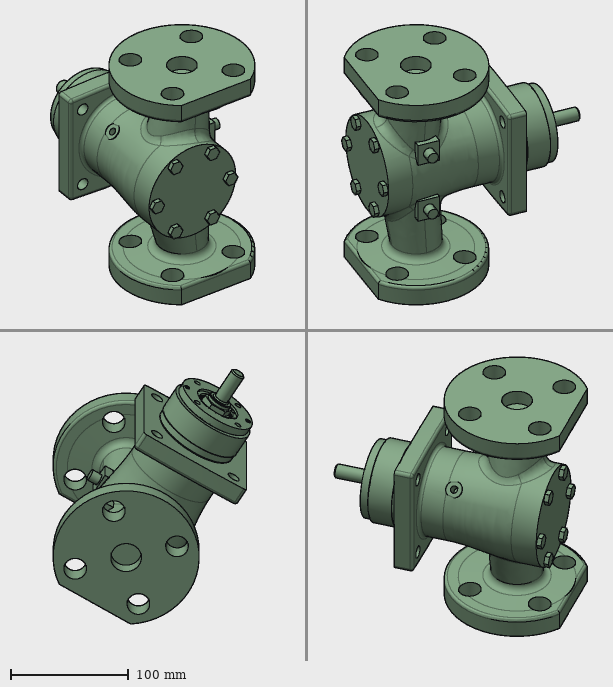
import cadquery as cq
import math


SHAFT_R = 6.14
SHAFT_CHAMFER = 1.2
SHAFT_END_X = 27.5
SHOULDER_R = 7.5
SHOULDER_CHAMFER = 1.2
COLLAR_X = 29.0
COLLAR_R = 10.5
COLLAR_CHAMFER = 0.6
NUT_X = 32.3
NUT_FLATS = 23.5
RECESS_R = 20.0
RECESS_DEPTH = 2.0
SEAL_R = 16.6
SEAL_DEPTH = 2.0
SEAL_GROOVE_R = 15.6
SEAL_GROOVE_WIDTH = 1.2
SEAL_GROOVE_DEPTH = 1.0
CLIP_HOLE_R = 0.94
CLIP_HOLE_Y = -17.9
CLIP_HOLE_Z = 6.0
CLIP_HOLE_DEPTH = 1.7

COVER_X = 33.7
COVER_R = 34.5
GROOVE_X = 40.5
GROOVE_R = 32.3
PILOT_X = 41.6
PILOT_R = 36.8
STEP_X = 62.6
STEP_R = 36.0
RELIEF_WIDTH = 0.8
RELIEF_R = 35.2
COVER_HOLE_R = 2.7
COVER_HOLE_OFFSET = 20.2
JACK_HOLE_R = 2.3
JACK_HOLE_Y = 30.2
JACK_SINK_DEPTH = 1.0
JACK_CORE_R = 1.2
COVER_HOLE_DEPTH = 5.2

PLATE_X = 70.1
PLATE_BACK_X = 87.0
PLATE_HALF = 51.0
PLATE_BOW = 1.5
PLATE_CORNER_ROUND = 3.1
PLATE_REAR_ROUND = 2.7
PLATE_HOLE_R = 5.3
PLATE_HOLE_OFFSET = 38.0

BODY_R = 39.0
BODY_FILLET = 3.1
FLARE_X = 109.7
FLARE_END_X = 173.1
REAR_R = 44.7
REAR_X = 195.6
BOLT_CIRCLE_R = 37.9
BOLT_FLATS = 11.0
BOLT_HEAD = 4.2
BOLT_COUNT = 6

FLANGE_R = 62.0
FLANGE_X = 157.3
FLANGE_Y = 15.6
FLANGE_Z = 101.65
FLANGE_FLAT_X = 208.0
FLANGE_THICK = 17.9
FLANGE_ROUND = 2.7
RAISED_R = 50.0
RAISED_HEIGHT = 1.0
FLANGE_HOLE_R = 9.5
FLANGE_HOLE_OFFSET = 31.5
PORT_R = 13.0
PORT_DEPTH = 13.1

NECK_R = 22.37
NECK_FILLET = 6.7
NECK_BEND_Z = FLANGE_Z - FLANGE_THICK - RAISED_HEIGHT - NECK_FILLET
NECK_ROOT_Z = 16.6
ROOT_X_MIN = FLANGE_X - NECK_R
ROOT_X_MAX = 186.2
ROOT_Y_MIN = -26.0
ROOT_Y_MAX = FLANGE_Y + NECK_R
NECK_BODY_FILLET = 9.4

DRAIN_X = 115.7
DRAIN_R = 3.1
DRAIN_DEPTH = 12.5
SPOT_R = 7.3
SPOT_SEAT = 38.5
DRAIN_TILT = 45
PLUG_R = 4.9
PLUG_Z = 28.5
PLUG_END_Y = 51.6
PAD_SIDE = 20.0
PAD_END_Y = 42.7


def rod(x, length, radius, y=0, z=0):
    """Cylinder along +X."""
    return cq.Workplane("YZ", origin=(x, y, z)).circle(radius).extrude(length)


def hexagon(x, length, flats, y=0, z=0):
    """Hexagonal prism along +X with two flats facing +Z and -Z."""
    corners = flats / math.cos(math.pi / 6)
    return cq.Workplane("YZ", origin=(x, y, z)).polygon(6, corners).extrude(length)


def make_turned_body():
    """Front cover, pilot, body and rear cover as one revolved profile."""
    return (
        cq.Workplane("XY")
        .moveTo(COVER_X, 0)
        .lineTo(COVER_X, COVER_R)
        .lineTo(GROOVE_X, COVER_R)
        .lineTo(GROOVE_X, GROOVE_R)
        .lineTo(PILOT_X, GROOVE_R)
        .lineTo(PILOT_X, PILOT_R)
        .lineTo(STEP_X, PILOT_R)
        .lineTo(STEP_X, STEP_R)
        .lineTo(PLATE_X - RELIEF_WIDTH, STEP_R)
        .lineTo(PLATE_X - RELIEF_WIDTH, RELIEF_R)
        .lineTo(PLATE_BACK_X, RELIEF_R)
        .lineTo(PLATE_BACK_X, BODY_R + BODY_FILLET)
        .radiusArc((PLATE_BACK_X + BODY_FILLET, BODY_R), -BODY_FILLET)
        .lineTo(FLARE_X, BODY_R)
        .spline([(FLARE_END_X, REAR_R)], tangents=[(1, 0), (1, 0)], includeCurrent=True)
        .lineTo(REAR_X, REAR_R)
        .lineTo(REAR_X, 0)
        .close()
        .revolve(360, (0, 0, 0), (1, 0, 0))
    )


def make_neck():
    """Upper neck: a round top blending to a wider oval that leans toward -Y."""
    root_x = (ROOT_X_MIN + ROOT_X_MAX) / 2
    root_y = (ROOT_Y_MIN + ROOT_Y_MAX) / 2
    bend_to_root = NECK_ROOT_Z - NECK_BEND_Z
    return (
        cq.Workplane("XY", origin=(FLANGE_X, FLANGE_Y, NECK_BEND_Z))
        .ellipse(NECK_R, NECK_R)
        .workplane(offset=bend_to_root)
        .center(root_x - FLANGE_X, root_y - FLANGE_Y)
        .ellipse((ROOT_X_MAX - ROOT_X_MIN) / 2, (ROOT_Y_MAX - ROOT_Y_MIN) / 2)
        .loft(ruled=True)
    )


def make_flange():
    """Upper flange: a disc cut flat on +X, with its raised back and neck fillet."""
    base = cq.Workplane("XY", origin=(FLANGE_X, FLANGE_Y, FLANGE_Z))
    flat_offset = FLANGE_FLAT_X - FLANGE_X
    beyond_flat = (
        base.center(flat_offset + FLANGE_R / 2, 0).rect(FLANGE_R, 2 * FLANGE_R).extrude(-FLANGE_THICK)
    )
    disc = base.circle(FLANGE_R).extrude(-FLANGE_THICK).cut(beyond_flat)
    disc = disc.faces("<Z").edges().fillet(FLANGE_ROUND)

    raised_depth = FLANGE_THICK + RAISED_HEIGHT
    hub = (
        cq.Workplane("XZ", origin=(FLANGE_X, FLANGE_Y, FLANGE_Z))
        .moveTo(0, -PORT_DEPTH)
        .lineTo(RAISED_R, -PORT_DEPTH)
        .lineTo(RAISED_R, -FLANGE_THICK)
        .lineTo(NECK_R + NECK_FILLET, -raised_depth)
        .radiusArc((NECK_R, NECK_BEND_Z - FLANGE_Z), -NECK_FILLET)
        .lineTo(0, NECK_BEND_Z - FLANGE_Z)
        .close()
        .revolve(360, (0, 0, 0), (0, 1, 0))
    )
    bolt_pitch = 2 * FLANGE_HOLE_OFFSET
    bolt_holes = (
        base.rect(bolt_pitch, bolt_pitch, forConstruction=True)
        .vertices()
        .circle(FLANGE_HOLE_R)
        .extrude(-raised_depth)
    )
    port = base.circle(PORT_R).extrude(-PORT_DEPTH)
    return disc.union(hub).cut(bolt_holes).cut(port)


def make_plate():
    """Square mounting plate with rounded corners, rear edge and bolt holes."""
    bowed = PLATE_HALF + PLATE_BOW
    plate = (
        cq.Workplane("YZ", origin=(PLATE_X, 0, 0))
        .moveTo(-PLATE_HALF, -PLATE_HALF)
        .threePointArc((0, -bowed), (PLATE_HALF, -PLATE_HALF))
        .lineTo(PLATE_HALF, PLATE_HALF)
        .threePointArc((0, bowed), (-PLATE_HALF, PLATE_HALF))
        .close()
        .extrude(PLATE_BACK_X - PLATE_X)
    )
    plate = plate.edges("|X").fillet(PLATE_CORNER_ROUND)
    plate = plate.faces(">X").edges().fillet(PLATE_REAR_ROUND)
    pitch = 2 * PLATE_HOLE_OFFSET
    return (
        plate.faces("<X")
        .workplane(origin=(PLATE_X, 0, 0))
        .rect(pitch, pitch, forConstruction=True)
        .vertices()
        .hole(2 * PLATE_HOLE_R)
    )


def cut_front_cover(part):
    """Stepped seal recess, clip holes, screw holes and jacking holes in the front face."""
    clip_x = COVER_X + RECESS_DEPTH
    seal_x = clip_x + SEAL_DEPTH
    part = part.cut(rod(COVER_X, RECESS_DEPTH, RECESS_R))
    part = part.cut(rod(clip_x, SEAL_DEPTH, SEAL_R))
    groove_core = rod(seal_x, SEAL_GROOVE_DEPTH, SEAL_GROOVE_R - SEAL_GROOVE_WIDTH)
    part = part.cut(rod(seal_x, SEAL_GROOVE_DEPTH, SEAL_GROOVE_R).cut(groove_core))
    for side in (-1, 1):
        part = part.cut(rod(clip_x, CLIP_HOLE_DEPTH, CLIP_HOLE_R, CLIP_HOLE_Y, side * CLIP_HOLE_Z))
        part = part.cut(rod(COVER_X, JACK_SINK_DEPTH, JACK_HOLE_R, side * JACK_HOLE_Y))
        part = part.cut(rod(COVER_X, COVER_HOLE_DEPTH, JACK_CORE_R, side * JACK_HOLE_Y))
        for level in (-1, 1):
            y = side * COVER_HOLE_OFFSET
            z = level * COVER_HOLE_OFFSET
            part = part.cut(rod(COVER_X, COVER_HOLE_DEPTH, COVER_HOLE_R, y, z))
    return part


def make_shaft():
    """Shaft with chamfered tip, tapered shoulder, collar and hexagon nut."""
    seat_x = COVER_X + RECESS_DEPTH + SEAL_DEPTH
    shaft = rod(0, COLLAR_X, SHAFT_R).faces("<X").chamfer(SHAFT_CHAMFER)
    shoulder = rod(SHAFT_END_X, COLLAR_X - SHAFT_END_X, SHOULDER_R)
    shoulder = shoulder.faces("<X").chamfer(SHOULDER_CHAMFER)
    collar = rod(COLLAR_X, NUT_X - COLLAR_X, COLLAR_R)
    collar = collar.faces("<X").chamfer(COLLAR_CHAMFER)
    nut = hexagon(NUT_X, seat_x - NUT_X, NUT_FLATS)
    return shaft.union(shoulder).union(collar).union(nut)


def add_rear_bolts(part):
    """Ring of hexagon bolt heads on the rear cover."""
    for index in range(BOLT_COUNT):
        angle = 2 * math.pi * index / BOLT_COUNT
        y = BOLT_CIRCLE_R * math.cos(angle)
        z = BOLT_CIRCLE_R * math.sin(angle)
        part = part.union(hexagon(REAR_X, BOLT_HEAD, BOLT_FLATS, y, z))
    return part


def cut_drain(part):
    """Spot-faced hole pointing at the shaft axis from the -Y, +Z side."""
    seat = cq.Workplane("XY", origin=(DRAIN_X, 0, SPOT_SEAT))
    spot = seat.circle(SPOT_R).extrude(REAR_R - SPOT_SEAT)
    hole = seat.circle(DRAIN_R).extrude(-DRAIN_DEPTH)
    return part.cut(spot.union(hole).rotate((0, 0, 0), (1, 0, 0), DRAIN_TILT))


def add_plugs(part):
    """Square pads on the +Y side, above and below the shaft, each with a round plug."""
    for level in (-1, 1):
        seat = cq.Workplane("XZ", origin=(FLANGE_X, FLANGE_Y, level * PLUG_Z))
        pad = seat.rect(PAD_SIDE, PAD_SIDE).extrude(FLANGE_Y - PAD_END_Y)
        plug = seat.circle(PLUG_R).extrude(FLANGE_Y - PLUG_END_Y)
        part = part.union(pad).union(plug)
    return part


def blend_necks(part):
    """Fillet the seams where the two necks meet the body."""
    margin = 4.2
    z_limit = NECK_BEND_Z - margin
    seams = cq.selectors.BoxSelector(
        (ROOT_X_MIN - margin, ROOT_Y_MIN - margin, -z_limit),
        (REAR_X - margin, ROOT_Y_MAX + margin, z_limit),
        boundingbox=True,
    )
    return part.edges(seams).fillet(NECK_BODY_FILLET)


neck = make_neck()
body = make_turned_body().union(neck).union(neck.mirror("XY"))
body = blend_necks(body)

flange = make_flange()
body = body.union(flange).union(flange.mirror("XY"))
body = body.union(make_plate())
body = cut_front_cover(body).union(make_shaft())
body = add_rear_bolts(body)
body = cut_drain(body)
result = add_plugs(body)